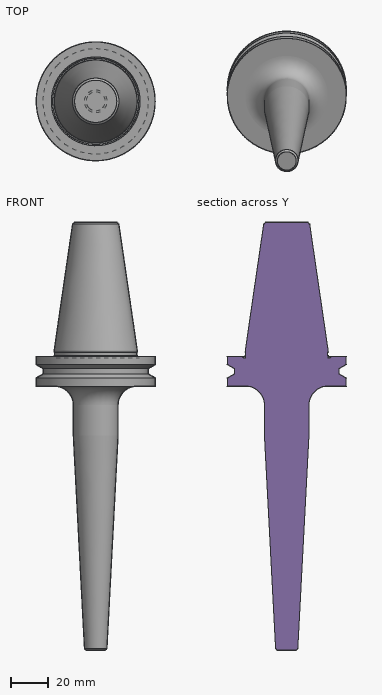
import cadquery as cq
import math


GAUGE_DIAMETER = 44.45
TAPER_RATIO = 7 / 24
SHANK_LENGTH = 68.4
SHANK_END_CHAMFER = 1.0

COLLAR_GROOVE_TOP_Z = -0.9
COLLAR_GROOVE_BOTTOM_Z = -2.8
COLLAR_GROOVE_DEPTH = 0.2

RECESS_MOUTH_DIAMETER = 47.4
RECESS_DEPTH = 0.7

FLANGE_DIAMETER = 63.55
FLANGE_TOP_Z = -3.2
FLANGE_BOTTOM_Z = -19.1
GROOVE_CENTER_Z = -11.1
GROOVE_FLOOR_DIAMETER = 56.25
GROOVE_MOUTH_WIDTH = 7.0
GROOVE_WALL_ANGLE = 30.0

NECK_DIAMETER = 24.0
NECK_BOTTOM_Z = -45.5
NECK_FILLET_RADIUS = 10.0
NOSE_END_Z = -160.0
NOSE_HALF_ANGLE = 3.0
NOSE_CHAMFER = 1.0

FULL_TURN = 360


def add_shank(profile):
    """Outline of the taper, from its small end down to the gauge plane."""
    gauge_radius = GAUGE_DIAMETER / 2
    small_radius = gauge_radius - SHANK_LENGTH * TAPER_RATIO / 2
    chamfer_bottom_z = SHANK_LENGTH - SHANK_END_CHAMFER
    chamfer_bottom_radius = gauge_radius - chamfer_bottom_z * TAPER_RATIO / 2
    return (
        profile
        .lineTo(small_radius - SHANK_END_CHAMFER, SHANK_LENGTH)
        .lineTo(chamfer_bottom_radius, chamfer_bottom_z)
        .lineTo(gauge_radius, 0)
    )


def add_collar(profile):
    """Outline of the collar, its shallow groove and the recess around its foot."""
    collar_radius = GAUGE_DIAMETER / 2
    groove_radius = collar_radius - COLLAR_GROOVE_DEPTH
    recess_floor_z = FLANGE_TOP_Z - RECESS_DEPTH
    mouth_radius = RECESS_MOUTH_DIAMETER / 2
    return (
        profile
        .lineTo(collar_radius, COLLAR_GROOVE_TOP_Z)
        .lineTo(groove_radius, COLLAR_GROOVE_TOP_Z - COLLAR_GROOVE_DEPTH)
        .lineTo(groove_radius, COLLAR_GROOVE_BOTTOM_Z + COLLAR_GROOVE_DEPTH)
        .lineTo(collar_radius, COLLAR_GROOVE_BOTTOM_Z)
        .lineTo(collar_radius, recess_floor_z)
        .lineTo(mouth_radius - RECESS_DEPTH, recess_floor_z)
        .lineTo(mouth_radius, FLANGE_TOP_Z)
    )


def add_flange(profile):
    """Outline of the flange rim and the V groove around it."""
    rim_radius = FLANGE_DIAMETER / 2
    floor_radius = GROOVE_FLOOR_DIAMETER / 2
    mouth_half = GROOVE_MOUTH_WIDTH / 2
    wall_run = (rim_radius - floor_radius) * math.tan(math.radians(GROOVE_WALL_ANGLE))
    floor_half = mouth_half - wall_run
    return (
        profile
        .lineTo(rim_radius, FLANGE_TOP_Z)
        .lineTo(rim_radius, GROOVE_CENTER_Z + mouth_half)
        .lineTo(floor_radius, GROOVE_CENTER_Z + floor_half)
        .lineTo(floor_radius, GROOVE_CENTER_Z - floor_half)
        .lineTo(rim_radius, GROOVE_CENTER_Z - mouth_half)
        .lineTo(rim_radius, FLANGE_BOTTOM_Z)
    )


def add_neck(profile):
    """Outline of the large fillet under the flange and the straight neck."""
    neck_radius = NECK_DIAMETER / 2
    center_radius = neck_radius + NECK_FILLET_RADIUS
    center_z = FLANGE_BOTTOM_Z - NECK_FILLET_RADIUS
    diagonal_offset = NECK_FILLET_RADIUS * math.sqrt(0.5)
    return (
        profile
        .lineTo(center_radius, FLANGE_BOTTOM_Z)
        .threePointArc(
            (center_radius - diagonal_offset, center_z + diagonal_offset),
            (neck_radius, center_z),
        )
        .lineTo(neck_radius, NECK_BOTTOM_Z)
    )


def add_nose(profile):
    """Outline of the slender taper below the neck and its chamfered tip."""
    slope = math.tan(math.radians(NOSE_HALF_ANGLE))
    chamfer_top_z = NOSE_END_Z + NOSE_CHAMFER
    chamfer_top_radius = NECK_DIAMETER / 2 - (NECK_BOTTOM_Z - chamfer_top_z) * slope
    return (
        profile
        .lineTo(chamfer_top_radius, chamfer_top_z)
        .lineTo(chamfer_top_radius - NOSE_CHAMFER, NOSE_END_Z)
        .lineTo(0, NOSE_END_Z)
    )


half_profile = cq.Workplane("XZ").moveTo(0, SHANK_LENGTH)
for add_section in (add_shank, add_collar, add_flange, add_neck, add_nose):
    half_profile = add_section(half_profile)

result = half_profile.close().revolve(FULL_TURN, (0, 0, 0), (0, 1, 0))